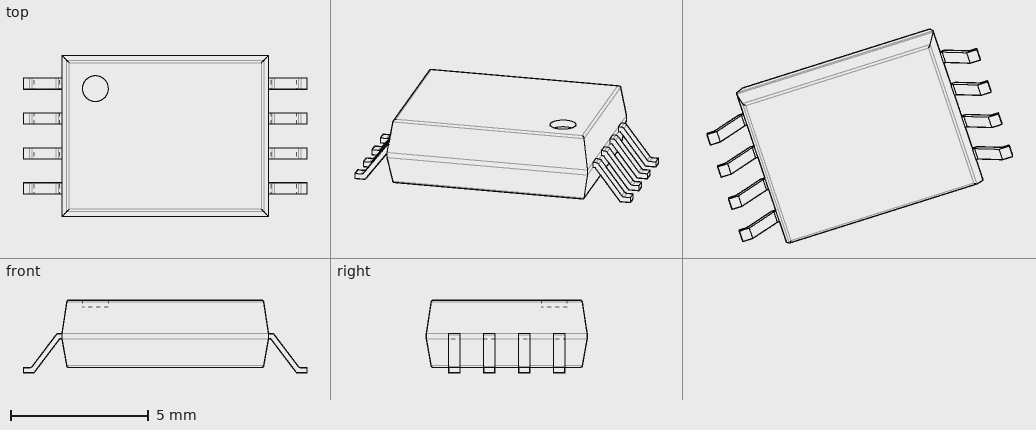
import cadquery as cq
import math

overall_length = 10.31
body_length = 7.51
body_width = 5.85
overall_height = 2.65

standoff = 0.2
band_bottom = 1.24
wall_inset = 0.19
edge_radius = 0.09
mark_diameter = 0.94
mark_depth = 0.26
mark_x = -2.54
mark_y = 1.72

leads_per_side = 4
lead_pitch = 1.27
lead_width = 0.41
lead_thickness = 0.2
foot_length_top = 0.29
slope_run = 0.94
bend_radius = 0.11

band_top = band_bottom + lead_thickness

bend_angle = math.atan2(band_bottom, slope_run)
bend_shift = lead_thickness * math.tan(bend_angle / 2)


def tapered_half(band_z, face_z):
    """Half of the body that narrows from the band to the top or bottom face."""
    return (
        cq.Workplane("XY", origin=(0, 0, band_z))
        .rect(body_length, body_width)
        .workplane(offset=face_z - band_z)
        .rect(body_length - 2 * wall_inset, body_width - 2 * wall_inset)
        .loft(ruled=True)
    )


def make_body():
    """Moulded body: straight band, two tapered halves, rounded rims and pin 1 mark."""
    band = cq.Workplane("XY", origin=(0, 0, band_bottom)).box(
        body_length, body_width, lead_thickness, centered=(True, True, False)
    )
    body = (
        band
        .union(tapered_half(band_top, overall_height))
        .union(tapered_half(band_bottom, standoff))
        .faces(">Z or <Z")
        .edges()
        .fillet(edge_radius)
    )
    mark = (
        cq.Workplane("XY", origin=(mark_x, mark_y, overall_height))
        .circle(mark_diameter / 2)
        .extrude(-mark_depth)
    )
    return body.cut(mark)


def make_left_lead(center_y):
    """Gull-wing lead on the -X side, ending flush against the body band."""
    tip_x = -overall_length / 2
    body_x = -body_length / 2
    top_bend_x = tip_x + foot_length_top
    bottom_bend_x = top_bend_x + bend_shift
    lead = (
        cq.Workplane("XZ", origin=(0, center_y, 0))
        .moveTo(tip_x, 0)
        .lineTo(bottom_bend_x, 0)
        .lineTo(bottom_bend_x + slope_run, band_bottom)
        .lineTo(body_x, band_bottom)
        .lineTo(body_x, band_top)
        .lineTo(top_bend_x + slope_run, band_top)
        .lineTo(top_bend_x, lead_thickness)
        .lineTo(tip_x, lead_thickness)
        .close()
        .extrude(lead_width / 2, both=True)
    )
    bend_points = [
        (top_bend_x + slope_run, center_y, band_top),
        (top_bend_x, center_y, lead_thickness),
    ]
    for point in bend_points:
        lead = lead.edges(cq.selectors.NearestToPointSelector(point)).fillet(bend_radius)
    return lead


body = make_body()

leads = []
for index in range(leads_per_side):
    lead_y = (index - (leads_per_side - 1) / 2) * lead_pitch
    left_lead = make_left_lead(lead_y)
    leads.append(left_lead.val())
    leads.append(left_lead.mirror("YZ").val())

result = cq.Compound.makeCompound([body.val(), *leads])